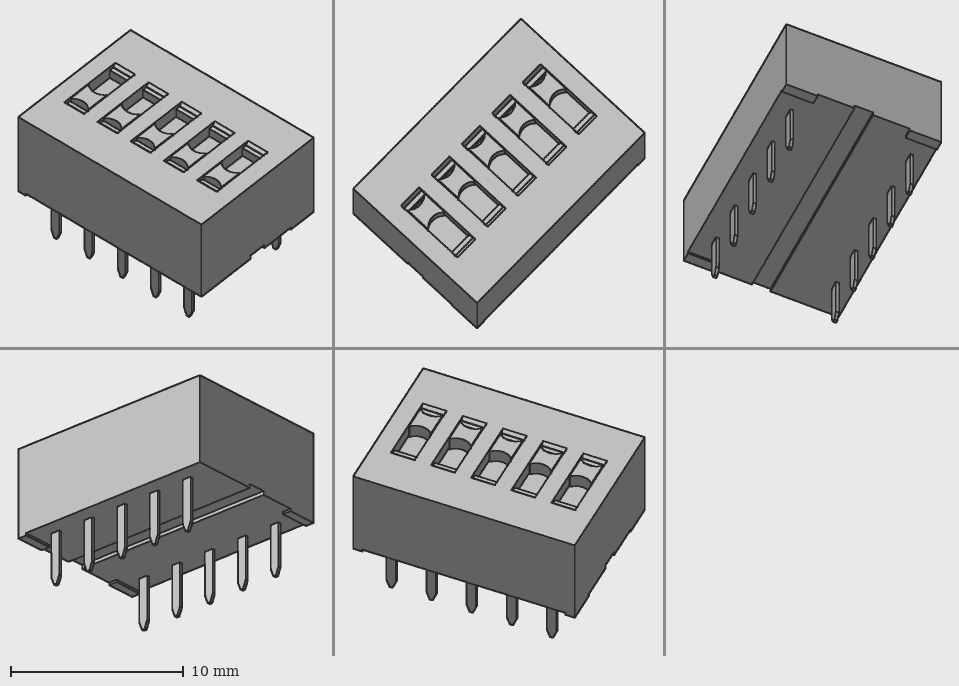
import cadquery as cq

length = 14.06
width = 9.9
total_height = 9.05
housing_height = 5.82
foot_height = 0.15

foot_length = 0.59
relief_width = 5.88
notch_width = 1.18
notch_depth = 0.25

switch_count = 5
pitch = 2.55
row_spacing = 7.65
pin_width = 0.6
pin_thickness = 0.2
pin_tip_width = 0.2
pin_tip_height = 0.52

window_length = 4.5
window_width = 1.5
window_depth = 0.85
bevel_width = 0.2
bevel_depth = 0.2
ledge_depth = 0.24
ledge_width = 0.3

slider_width = 1.4
slider_length = 1.57
scoop_depth = 0.28
scoop_width = 1.32

bottom_z = -housing_height / 2
top_z = bottom_z + housing_height
underside_z = bottom_z + foot_height
first_switch_x = -(switch_count - 1) * pitch / 2
switch_xs = [first_switch_x + i * pitch for i in range(switch_count)]


def box(x_size, y_size, z_low, z_high):
    """Box centred on the Z axis between two heights."""
    height = z_high - z_low
    return cq.Workplane("XY", origin=(0, 0, z_low)).rect(x_size, y_size).extrude(height)


def make_housing():
    """Block with three corner feet and a notch along its underside; the +X, -Y corner has no foot."""
    body = box(length, width, underside_z, top_z)
    foot_width = (width - relief_width) / 2
    foot_x = (length - foot_length) / 2
    foot_y = (width - foot_width) / 2
    foot = box(foot_length, foot_width, bottom_z, underside_z)
    for x, y in ((-foot_x, -foot_y), (-foot_x, foot_y), (foot_x, foot_y)):
        body = body.union(foot.translate((x, y, 0)))
    return body.cut(box(length, notch_width, underside_z, underside_z + notch_depth))


def make_pin(x, y):
    """Flat pin with a tapered tip, reaching down from the underside."""
    tip_z = top_z - total_height
    half, half_tip = pin_width / 2, pin_tip_width / 2
    outline = [
        (x - half, underside_z),
        (x - half, tip_z + pin_tip_height),
        (x - half_tip, tip_z),
        (x + half_tip, tip_z),
        (x + half, tip_z + pin_tip_height),
        (x + half, underside_z),
    ]
    plane = cq.Workplane("XZ", origin=(0, y, 0))
    return plane.polyline(outline).close().extrude(pin_thickness / 2, both=True)


def make_window():
    """Recess with a bevel, a small step and a ledge at both ends."""
    rim = window_length / 2
    ledge = rim - bevel_width
    wall = ledge - ledge_width
    floor_z = top_z - window_depth
    bevel_z = top_z - bevel_depth
    ledge_z = top_z - ledge_depth
    outline = [
        (-rim, top_z),
        (-ledge, bevel_z),
        (-ledge, ledge_z),
        (-wall, ledge_z),
        (-wall, floor_z),
        (wall, floor_z),
        (wall, ledge_z),
        (ledge, ledge_z),
        (ledge, bevel_z),
        (rim, top_z),
    ]
    return cq.Workplane("YZ").polyline(outline).close().extrude(window_width / 2, both=True)


def make_slider():
    """Slider pushed to the -Y end of its window, scooped at both ends."""
    near_y = -window_length / 2 + bevel_width + ledge_width
    far_y = near_y + slider_length
    half, half_scoop = slider_width / 2, scoop_width / 2
    outline = (
        cq.Workplane("XY", origin=(0, 0, top_z - window_depth))
        .moveTo(-half, near_y)
        .lineTo(-half_scoop, near_y)
        .threePointArc((0, near_y + scoop_depth), (half_scoop, near_y))
        .lineTo(half, near_y)
        .lineTo(half, far_y)
        .lineTo(half_scoop, far_y)
        .threePointArc((0, far_y - scoop_depth), (-half_scoop, far_y))
        .lineTo(-half, far_y)
        .close()
    )
    return outline.extrude(window_depth)


result = make_housing()
window = make_window()
slider = make_slider()
for switch_x in switch_xs:
    place = (switch_x, 0, 0)
    result = result.cut(window.translate(place))
    result = result.union(slider.translate(place))
    for row_y in (-row_spacing / 2, row_spacing / 2):
        result = result.union(make_pin(switch_x, row_y))